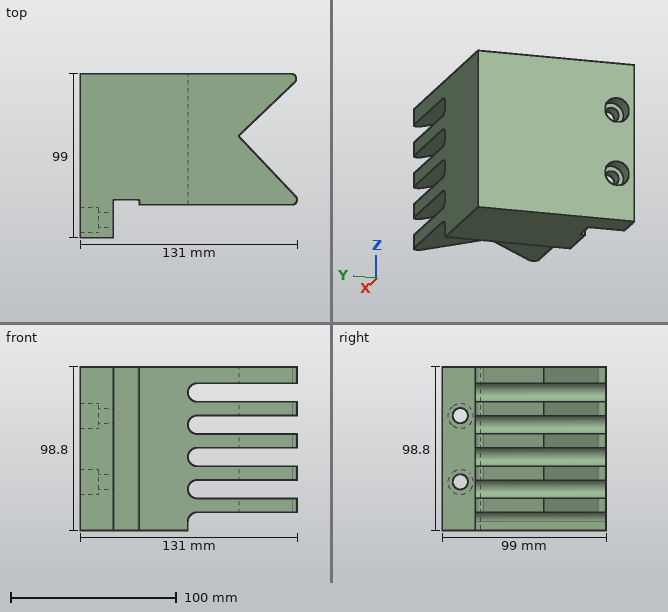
import cadquery as cq
import math

length = 131.0
width = 99.0
height = 98.8

flange_thickness = 20.0
body_front_y = 19.9
relief_depth = 3.0
relief_end_x = 35.8
flange_corner_radius = 0.7
relief_corner_radius = 1.0
vee_apex_x = 95.6
vee_apex_y = 61.5
tip_radius = 3.0

slot_count = 5
slot_root_x = 65.1
slot_height = 11.0
top_finger_height = 10.0
slot_pitch = (height - top_finger_height - slot_height) / (slot_count - 1)

hole_diameter = 9.0
counterbore_diameter = 15.0
counterbore_depth = 11.0
hole_y = 11.0
hole_spacing = 40.0


def sharp_tip_x():
    """X of both sharp tips, so that the rounded front tip ends exactly at the overall length."""
    run = length - tip_radius - vee_apex_x
    drop = vee_apex_y - body_front_y - tip_radius
    flank_angle = math.atan2(drop, run) - math.asin(tip_radius / math.hypot(run, drop))
    return vee_apex_x + (vee_apex_y - body_front_y) / math.tan(flank_angle)


def near_edge(x, y):
    """Selector for the vertical edge at (x, y)."""
    return cq.selectors.NearestToPointSelector((x, y, height / 2))


def make_body():
    """Flange and vee-ended block, as one outline extruded upwards."""
    tip_x = sharp_tip_x()
    relief_y = body_front_y + relief_depth
    outline = [
        (0, 0),
        (flange_thickness, 0),
        (flange_thickness, relief_y),
        (relief_end_x, relief_y),
        (relief_end_x, body_front_y),
        (tip_x, body_front_y),
        (vee_apex_x, vee_apex_y),
        (tip_x, width),
        (0, width),
    ]
    body = cq.Workplane("XY").polyline(outline).close().extrude(height)
    for tip_y in (body_front_y, width):
        body = body.edges(near_edge(tip_x, tip_y)).fillet(tip_radius)
    body = body.edges(near_edge(flange_thickness, relief_y)).fillet(flange_corner_radius)
    return body.edges(near_edge(relief_end_x, relief_y)).fillet(relief_corner_radius)


def make_slot(bottom_z):
    """Slot cutter through the full width, with a full-round root."""
    radius = slot_height / 2
    return (
        cq.Workplane("XZ")
        .moveTo(length, bottom_z)
        .lineTo(slot_root_x + radius, bottom_z)
        .threePointArc(
            (slot_root_x, bottom_z + radius),
            (slot_root_x + radius, bottom_z + slot_height),
        )
        .lineTo(length, bottom_z + slot_height)
        .close()
        .extrude(-width)
    )


def cut_slots(body):
    """Cut the comb; the lowest slot is open underneath, so its lower root corner is square."""
    for index in range(slot_count):
        body = body.cut(make_slot(index * slot_pitch))
    lower_half = cq.Workplane("XY", origin=(slot_root_x, 0, 0)).box(
        length - slot_root_x, width, slot_height / 2, centered=False
    )
    return body.cut(lower_half)


def drill_holes(body):
    """Counterbored holes through the flange, entered from its outer face."""
    for side in (-1, 1):
        center = (0, hole_y, height / 2 + side * hole_spacing / 2)
        face = cq.Workplane("YZ", origin=center)
        body = body.cut(face.circle(hole_diameter / 2).extrude(flange_thickness))
        body = body.cut(face.circle(counterbore_diameter / 2).extrude(counterbore_depth))
    return body


result = drill_holes(cut_slots(make_body()))